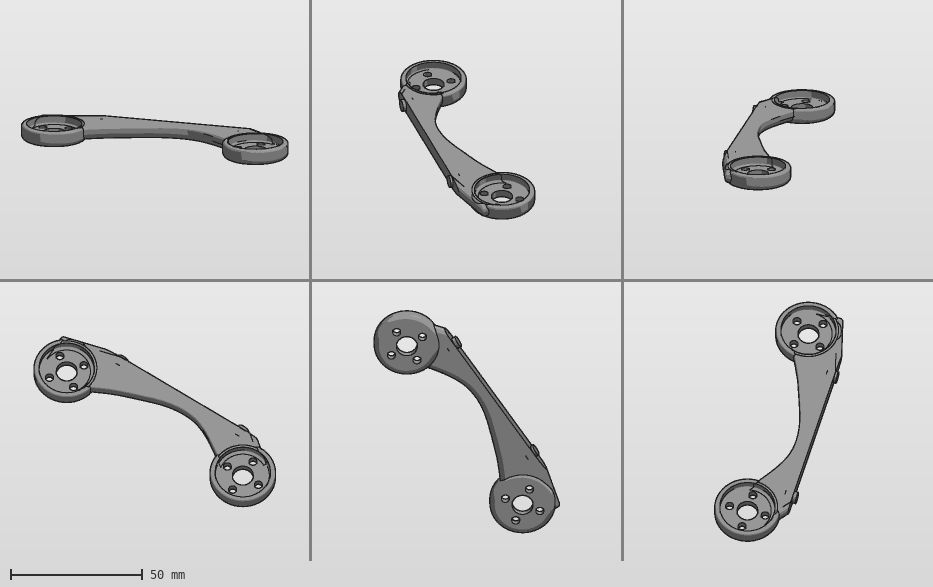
import cadquery as cq
import math

cup_spacing = 80.0
cup_diameter = 25.0
cup_height = 6.0
recess_diameter = 21.0
recess_depth = 3.0
floor_fillet = 0.4
top_fillet = 1.0
bottom_fillet = 2.0
hub_hole_diameter = 8.0
screw_hole_diameter = 3.0
screw_circle_radius = 7.0
screw_count = 4
left_screw_angle = 55.0
right_screw_angle = 0.0
cup_x = cup_spacing / 2
recess_radius = recess_diameter / 2
rim_radius = cup_diameter / 2 - top_fillet

arm_thickness = 5.0
arm_back_y = 15.1
ridge_width = 2.2
ridge_rise = 0.2
slant_fillet = 2.2
edge_fillet = 0.9
embed_radius = 9.0
rim_lip = 0.1
left_corner = (-49.2, 10.9)
left_end_y = 0.5
left_angle = 15.1
right_angle = 38.0
left_slope = math.tan(math.radians(left_angle))
right_slope = math.tan(math.radians(right_angle))
right_corner_x = 36.9
right_tip_x = 44.7
right_tip_y = arm_back_y - right_slope * (right_tip_x - right_corner_x)
blank_back_y = arm_back_y + 3.2
front_curve = [
    (32.5, -2.6), (25.3, 2.2), (17.7, 6.7), (12.7, 8.6), (7.6, 9.2), (2.5, 8.9),
    (-2.5, 7.9), (-10.1, 5.4), (-20.2, 1.6), (-27.8, -2.2), (-34.6, -5.5),
]

pin_diameter = 4.5
pin_socket_depth = 3.2
pin_places = [(-24.8, 0.9), (29.6, 1.4)]


def disc(x, radius, top, height):
    """Vertical cylinder on the X axis, reaching down from the given top."""
    return cq.Workplane("XY", origin=(x, 0, top)).circle(radius).extrude(-height)


def make_cup(x, screw_angle):
    cup = disc(x, cup_diameter / 2, 0, cup_height)
    cup = cup.faces(">Z").edges().fillet(top_fillet)
    cup = cup.faces("<Z").edges().fillet(bottom_fillet)
    cup = cup.cut(make_recess(x))
    cup = cup.cut(disc(x, hub_hole_diameter / 2, 0, cup_height))
    screw_holes = (
        cq.Workplane("XY", origin=(x, 0, 0))
        .polarArray(screw_circle_radius, screw_angle, 360, screw_count)
        .circle(screw_hole_diameter / 2)
        .extrude(-cup_height)
    )
    return cup.cut(screw_holes)


def make_recess(x):
    return disc(x, recess_radius, 0, recess_depth).faces("<Z").edges().fillet(floor_fillet)


def make_arm_blank():
    left_back_x = left_corner[0] + (blank_back_y - left_corner[1]) / left_slope
    right_back_x = right_corner_x - (blank_back_y - arm_back_y) / right_slope
    left_middle = (left_back_x + left_corner[0]) / 2, (blank_back_y + left_corner[1]) / 2
    right_middle = (right_back_x + right_tip_x) / 2, (blank_back_y + right_tip_y) / 2
    curve_middle = front_curve[len(front_curve) // 2]
    blank = (
        cq.Workplane("XY")
        .moveTo(*left_corner)
        .lineTo(left_back_x, blank_back_y)
        .lineTo(right_back_x, blank_back_y)
        .lineTo(right_tip_x, right_tip_y)
        .lineTo(cup_x, 0)
        .lineTo(*front_curve[0])
        .spline(front_curve[1:], includeCurrent=True)
        .lineTo(-cup_x, left_end_y)
        .lineTo(left_corner[0], left_end_y)
        .close()
        .extrude(-arm_thickness)
    )
    blank = blank.edges("|Z").edges(cq.NearestToPointSelector((*left_corner, -arm_thickness / 2)))
    blank = blank.fillet(edge_fillet)
    for z in (0, -arm_thickness):
        for middle in (left_middle, right_middle):
            blank = blank.edges(cq.NearestToPointSelector((*middle, z))).fillet(slant_fillet)
    for z, radius in ((0, edge_fillet), (-arm_thickness, slant_fillet)):
        blank = blank.edges(cq.NearestToPointSelector((*curve_middle, z))).fillet(radius)
    return blank


def make_back_trim():
    """Material removed to leave the flat back face."""
    return cq.Workplane("XY", origin=(0, arm_back_y, -arm_thickness)).box(
        cup_spacing, blank_back_y - arm_back_y, arm_thickness, centered=(True, False, False)
    )


def flat_end_x(y):
    """Left and right ends of the flat top at a given y, where the slanted fillets begin."""
    left_edge = left_corner[0] + (y - left_corner[1]) / left_slope
    right_edge = right_corner_x + (arm_back_y - y) / right_slope
    left_inset = slant_fillet / math.sin(math.radians(left_angle))
    right_inset = slant_fillet / math.sin(math.radians(right_angle))
    return left_edge + left_inset, right_edge - right_inset


def make_ridge():
    """Shallow wedge on the flat top that rises toward the back face."""
    front_y = arm_back_y - ridge_width
    front_left, front_right = flat_end_x(front_y)
    back_left, back_right = flat_end_x(arm_back_y)
    footprint = (
        cq.Workplane("XY")
        .polyline([
            (front_left, front_y), (front_right, front_y),
            (back_right, arm_back_y), (back_left, arm_back_y),
        ])
        .close()
        .extrude(ridge_rise)
    )
    wedge = (
        cq.Workplane("YZ")
        .polyline([(front_y, 0), (arm_back_y, 0), (arm_back_y, ridge_rise)])
        .close()
        .extrude(cup_spacing, both=True)
    )
    return wedge.intersect(footprint)


def make_pin(x, outside_length):
    start_y = arm_back_y - pin_socket_depth
    return (
        cq.Workplane("XZ", origin=(x, start_y, -arm_thickness / 2))
        .circle(pin_diameter / 2)
        .extrude(-(pin_socket_depth + outside_length))
    )


def make_arm(pins):
    arm = make_arm_blank().cut(make_back_trim()).union(make_ridge())
    for x in (-cup_x, cup_x):
        arm = arm.cut(disc(x, embed_radius, 0, arm_thickness))
        arm = arm.cut(make_recess(x))
        arm = arm.cut(disc(x, rim_radius, 0, rim_lip))
    for pin in pins:
        arm = arm.cut(pin)
    return arm


pins = [make_pin(x, outside_length) for x, outside_length in pin_places]
arm = make_arm(pins)
cups = [
    make_cup(x, screw_angle).cut(arm)
    for x, screw_angle in ((-cup_x, left_screw_angle), (cup_x, right_screw_angle))
]

result = cq.Compound.makeCompound([
    arm.solids().val(),
    *[cup.solids().val() for cup in cups],
    *[pin.val() for pin in pins],
])